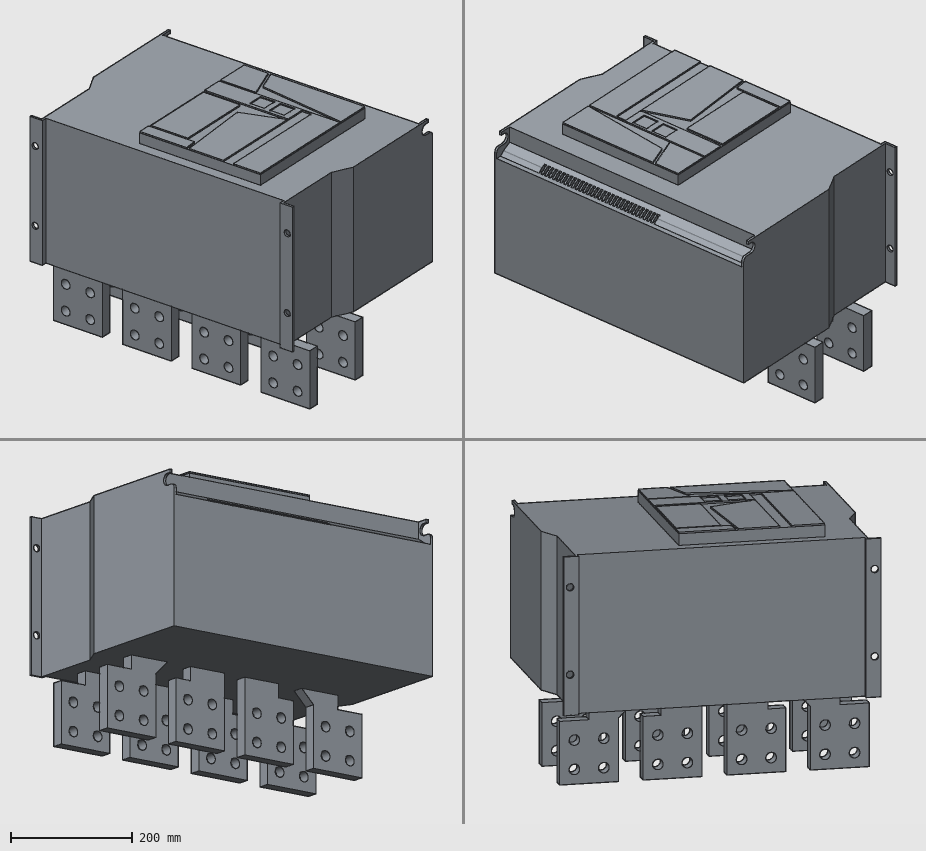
import cadquery as cq
import math

total_width = 539.0
total_depth = 394.0
front_y = -total_depth / 2
back_y = total_depth / 2

housing_height = 271.0
rear_half_width = 267.0
neck_half_width = 248.5
shoulder_rear_y = back_y - 221.0
shoulder_front_y = back_y - 257.0
housing_front_y = front_y + 10.0

sheet = 4.5
flange_inner_x = neck_half_width - sheet
flange_hole_x = 258.5
flange_hole_diameter = 12.5
flange_hole_heights = (69.5, 219.0)

recess_half_width = rear_half_width - sheet
recess_front_y = back_y - 33.5
recess_crease_y = back_y - 18.0
recess_ledge_y = back_y - 9.5
recess_wall_depth = 29.5
upper_slope = math.radians(30)
lower_slope = math.radians(40)

notch_radius = 10.0
notch_centre_y = back_y - 19.0
notch_centre_z = housing_height - 16.0
cheek_lip_y = back_y - 12.0
cheek_corner_radius = 8.0

panel_left = -67.0
panel_right = 181.0
panel_front_y = front_y + 30.5
panel_rear_y = front_y + 322.0
panel_base_height = 20.0
tile_height = 2.5
tile_gap = 3.0
tile_inset = 0.25
rear_tile_length = 69.5
rear_left_back_width = 49.0
rear_left_front_width = 73.0
rear_right_start = 54.5
rear_right_tip_x = 69.5
rear_right_tip_depth = 42.5
column_offset = 171.5
column_width = 20.5
column_chamfer = 2.0
strip_bridge = 2.0
strip_length = 41.0
display_width = 76.0
display_length = 145.5
display_offset_x = 1.5
display_offset_y = 28.0
corner_tile_length = 24.0
corner_front_width = 96.0
corner_rear_width = 94.0
cover_right_length = 178.0
cover_left_length = 150.0
cover_front_offset = 101.5
cover_rear_offset = 89.5

button_size = 29.5
button_pitch = 41.0
first_button_x = panel_left + 88.0
button_margin = 4.5
button_depth = 2.0

vent_count = 31
vent_width = 4.5
vent_pitch = 8.0
vent_front_y = back_y - 24.0

bar_thickness = 21.0
bar_row_ys = (front_y + 67.5, front_y + 194.0)
bar_bottom_z = -133.0
shoulder_z = -24.0
blade_width = 100.0
blade_centres = (71.0, 213.0)
neck_width = 70.0
outer_neck_end = 213.5
hole_diameter = 18.0
hole_spacing = 50.0
hole_edge_distance = 25.5
lower_hole_z = bar_bottom_z + hole_edge_distance


def block(x0, x1, y0, y1, z0, z1):
    return cq.Workplane("XY").box(x1 - x0, y1 - y0, z1 - z0, centered=False).translate((x0, y0, z0))


def mirrored(shape):
    return shape.union(shape.mirror("YZ"))


def make_housing():
    right_side = [
        (rear_half_width, back_y),
        (rear_half_width, shoulder_rear_y),
        (neck_half_width, shoulder_front_y),
        (neck_half_width, housing_front_y),
    ]
    left_side = [(-x, y) for x, y in reversed(right_side)]
    return cq.Workplane("XY").polyline(right_side + left_side).close().extrude(housing_height)


def make_flange():
    half = total_width / 2
    plate = block(flange_inner_x, half, front_y, front_y + sheet, 0, housing_height)
    web = block(flange_inner_x, neck_half_width, front_y, housing_front_y, 0, housing_height)
    holes = (
        cq.Workplane("XZ", origin=(0, front_y, 0))
        .pushPoints([(flange_hole_x, z) for z in flange_hole_heights])
        .circle(flange_hole_diameter / 2)
        .extrude(-sheet)
    )
    return plate.union(web).cut(holes)


def make_recess():
    top = housing_height
    wall_z = top - recess_wall_depth
    crease_z = wall_z - (recess_crease_y - recess_front_y) * math.tan(upper_slope)
    ledge_z = crease_z - (recess_ledge_y - recess_crease_y) * math.tan(lower_slope)
    profile = [
        (recess_front_y, top),
        (recess_front_y, wall_z),
        (recess_crease_y, crease_z),
        (recess_ledge_y, ledge_z),
        (back_y, ledge_z),
        (back_y, top),
    ]
    recess = (
        cq.Workplane("YZ", origin=(-recess_half_width, 0, 0))
        .polyline(profile)
        .close()
        .extrude(2 * recess_half_width)
    )
    for i in range(vent_count):
        x = panel_left + i * vent_pitch
        recess = recess.union(block(x, x + vent_width, vent_front_y, recess_ledge_y, ledge_z, top))
    return recess


def make_cheek_notch():
    lower_z = notch_centre_z - notch_radius
    upper_z = notch_centre_z + notch_radius
    profile = (
        cq.Workplane("YZ", origin=(-rear_half_width, 0, 0))
        .moveTo(back_y, housing_height)
        .lineTo(cheek_lip_y, housing_height)
        .lineTo(cheek_lip_y, upper_z)
        .lineTo(notch_centre_y, upper_z)
        .threePointArc((notch_centre_y - notch_radius, notch_centre_z), (notch_centre_y, lower_z))
        .lineTo(back_y - cheek_corner_radius, lower_z)
        .radiusArc((back_y, lower_z - cheek_corner_radius), cheek_corner_radius)
        .close()
    )
    return profile.extrude(2 * rear_half_width)


def make_tile(points):
    base_top = housing_height + panel_base_height
    return cq.Workplane("XY", origin=(0, 0, base_top)).polyline(points).close().extrude(tile_height)


def make_panel():
    base = block(
        panel_left, panel_right, panel_front_y, panel_rear_y,
        housing_height, housing_height + panel_base_height,
    )
    left = panel_left + tile_inset
    right = panel_right - tile_inset
    front = panel_front_y + tile_inset
    rear = panel_rear_y - tile_inset

    seam_y = panel_rear_y - rear_tile_length
    rear_tile_y = seam_y + tile_gap
    rear_left_tile = [
        (left, rear),
        (left + rear_left_back_width, rear),
        (left + rear_left_front_width, rear_tile_y),
        (left, rear_tile_y),
    ]
    rear_right_tile = [
        (left + rear_right_start, rear),
        (left + rear_right_tip_x, rear - rear_right_tip_depth),
        (right, rear_tile_y),
        (right, rear),
    ]

    column_left = left + column_offset
    column_right = column_left + column_width
    column_rear_y = seam_y - strip_bridge
    strip_front_y = seam_y - strip_length
    strip_and_cover = [
        (left, seam_y),
        (right, seam_y),
        (right, front),
        (column_right, front),
        (column_right, column_rear_y - column_chamfer),
        (column_right - column_chamfer, column_rear_y),
        (column_left, column_rear_y),
        (column_left, strip_front_y),
        (left, strip_front_y),
    ]

    display_left = left + display_offset_x
    display_right = display_left + display_width
    display_front = front + display_offset_y
    display_rear = display_front + display_length
    display = [
        (display_left, display_front),
        (display_right, display_front),
        (display_right, display_rear),
        (display_left, display_rear),
    ]
    corner_rear_y = front + corner_tile_length
    front_left_tile = [
        (left, front),
        (left + corner_front_width, front),
        (left + corner_rear_width, corner_rear_y),
        (left, corner_rear_y),
    ]
    central_cover = [
        (left + cover_front_offset, front),
        (column_left, front),
        (column_left, front + cover_right_length),
        (left + cover_rear_offset, front + cover_left_length),
    ]

    tiles = (rear_left_tile, rear_right_tile, strip_and_cover, display, front_left_tile, central_cover)
    panel = base
    for points in tiles:
        panel = panel.union(make_tile(points))

    panel_top = housing_height + panel_base_height + tile_height
    button_rear_y = seam_y - button_margin
    for x in (first_button_x, first_button_x + button_pitch):
        pocket = block(
            x, x + button_size, button_rear_y - button_size, button_rear_y,
            panel_top - button_depth, panel_top,
        )
        panel = panel.cut(pocket)
    return panel


def make_bar(outline, centre_x, centre_y):
    start_y = centre_y - bar_thickness / 2
    plane = cq.Workplane("XZ", origin=(0, start_y, 0))
    half = hole_spacing / 2
    hole_points = [
        (centre_x + dx, lower_hole_z + dz) for dx in (-half, half) for dz in (0, hole_spacing)
    ]
    holes = plane.pushPoints(hole_points).circle(hole_diameter / 2).extrude(-bar_thickness)
    return plane.polyline(outline).close().extrude(-bar_thickness).cut(holes)


def make_bar_row(centre_y):
    inner_x, outer_x = blade_centres
    half = blade_width / 2
    inner_outline = [
        (inner_x - half, 0),
        (inner_x - half, bar_bottom_z),
        (inner_x + half, bar_bottom_z),
        (inner_x + half, shoulder_z),
        (inner_x - half + neck_width, shoulder_z),
        (inner_x - half + neck_width, 0),
    ]
    outer_neck_start = outer_x - half + shoulder_z
    outer_outline = [
        (outer_neck_start, 0),
        (outer_x - half, shoulder_z),
        (outer_x - half, bar_bottom_z),
        (outer_x + half, bar_bottom_z),
        (outer_x + half, shoulder_z),
        (outer_neck_end, shoulder_z),
        (outer_neck_end, 0),
    ]
    inner_bar = make_bar(inner_outline, inner_x, centre_y)
    outer_bar = make_bar(outer_outline, outer_x, centre_y)
    return mirrored(inner_bar.union(outer_bar))


result = make_housing().cut(make_recess()).cut(make_cheek_notch())
result = result.union(mirrored(make_flange())).union(make_panel())
for row_y in bar_row_ys:
    result = result.union(make_bar_row(row_y))